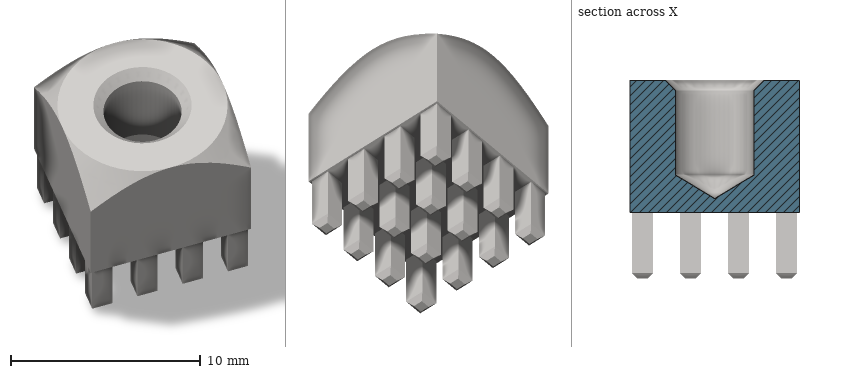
import cadquery as cq
import math

body_width = 9.0
body_height = 7.0
crown_angle = 45.0

hole_diameter = 4.134
hole_depth = 5.0
drill_point_angle = 118.0
countersink_diameter = 5.2
countersink_angle = 90.0

pin_pitch = 2.54
pins_per_side = 4
pin_width = 1.13
pin_length = 3.5
tip_height = 0.3
tip_width = 0.55


def make_body():
    """Square block whose top corners are turned off by a cone."""
    block = cq.Workplane("XY").box(body_width, body_width, body_height, centered=(True, True, False))
    top_radius = body_width / 2
    corner_radius = body_width / math.sqrt(2)
    crown_drop = (corner_radius - top_radius) * math.tan(math.radians(crown_angle))
    shoulder_height = body_height - crown_drop
    crown = (
        cq.Workplane("XZ")
        .moveTo(0, 0)
        .lineTo(corner_radius, 0)
        .lineTo(corner_radius, shoulder_height)
        .lineTo(top_radius, body_height)
        .lineTo(0, body_height)
        .close()
        .revolve(360, (0, 0, 0), (0, 1, 0))
    )
    return block.intersect(crown)


def make_hole():
    """Countersunk blind hole with a conical drill point."""
    hole_radius = hole_diameter / 2
    countersink_radius = countersink_diameter / 2
    countersink_depth = (countersink_radius - hole_radius) / math.tan(math.radians(countersink_angle / 2))
    point_depth = hole_radius / math.tan(math.radians(drill_point_angle / 2))
    hole_end = body_height - hole_depth
    return (
        cq.Workplane("XZ")
        .moveTo(0, hole_end - point_depth)
        .lineTo(hole_radius, hole_end)
        .lineTo(hole_radius, body_height - countersink_depth)
        .lineTo(countersink_radius, body_height)
        .lineTo(0, body_height)
        .close()
        .revolve(360, (0, 0, 0), (0, 1, 0))
    )


def make_pin():
    """Square pin hanging from the underside, with a tapered tip."""
    shank_length = pin_length - tip_height
    shank = cq.Workplane("XY").rect(pin_width, pin_width).extrude(-shank_length)
    tip = (
        cq.Workplane("XY", origin=(0, 0, -shank_length))
        .rect(pin_width, pin_width)
        .workplane(offset=-tip_height)
        .rect(tip_width, tip_width)
        .loft(ruled=True)
    )
    return shank.union(tip)


def pin_positions():
    """Centres of the pins on a square grid centred on the underside."""
    first = -(pins_per_side - 1) / 2 * pin_pitch
    offsets = [first + index * pin_pitch for index in range(pins_per_side)]
    return [(x, y) for x in offsets for y in offsets]


result = make_body().cut(make_hole())
pin = make_pin()
for x, y in pin_positions():
    result = result.union(pin.translate((x, y, 0)))